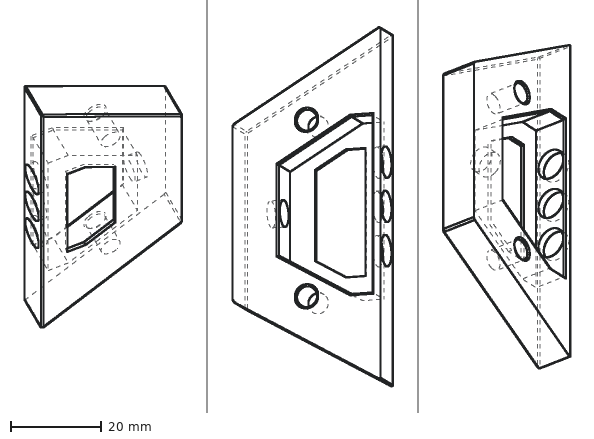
import cadquery as cq
import math

thickness = 9.0
depth = 34.6
edge_chamfer = 0.4
chamfered_half_length = 39.8
half_length = chamfered_half_length + edge_chamfer / 2
slope = math.tan(math.radians(30))

front_y = -depth / 2
back_y = depth / 2

floor_thickness = 0.9
pocket_depth = thickness - floor_thickness
recess_far_half = 10.3
pocket_front_wall = 2.0
pocket_length = 21.9
pocket_half = 20.05
window_inset = 6.3
window_length = 11.8
window_half = 14.5

face_hole_diameter = 4.7
face_hole_offset = 20.0
face_hole_depth = pocket_depth
side_hole_diameter = 7.0
side_hole_spacing = 10.0
side_hole_x = 4.0
blind_hole_diameter = 6.0
blind_hole_depth = 3.0


def make_plate():
    far_half = half_length - depth * slope
    plate = (
        cq.Workplane("YZ")
        .polyline([
            (front_y, -half_length),
            (back_y, -far_half),
            (back_y, far_half),
            (front_y, half_length),
        ])
        .close()
        .extrude(thickness)
    )
    return plate.edges("|X or >X").chamfer(edge_chamfer)


def make_recess(near_y, length, near_half, cut_depth):
    """Prism from the -X face whose upper and lower sides bend parallel to the slanted plate sides."""
    far_y = near_y + length
    bend_y = far_y - (near_half - recess_far_half) / slope
    return (
        cq.Workplane("YZ")
        .polyline([
            (near_y, -near_half),
            (bend_y, -near_half),
            (far_y, -recess_far_half),
            (far_y, recess_far_half),
            (bend_y, near_half),
            (near_y, near_half),
        ])
        .close()
        .extrude(cut_depth)
    )


def cylinder(diameter, length, start, direction):
    return cq.Workplane(cq.Solid.makeCylinder(diameter / 2, length, cq.Vector(*start), cq.Vector(*direction)))


pocket_front_y = front_y + pocket_front_wall
pocket_back_y = pocket_front_y + pocket_length

result = make_plate()
result = result.cut(make_recess(pocket_front_y, pocket_length, pocket_half, pocket_depth))
result = result.cut(make_recess(front_y + window_inset, window_length, window_half, thickness))

for z in (-face_hole_offset, face_hole_offset):
    result = result.cut(cylinder(face_hole_diameter, face_hole_depth, (0, 0, z), (1, 0, 0)))

rim_wires = result.faces("<X").val().innerWires()
rim_edges = [edge for wire in rim_wires for edge in wire.Edges()]
result = result.newObject(rim_edges).chamfer(edge_chamfer)

for z in (-side_hole_spacing, 0, side_hole_spacing):
    result = result.cut(cylinder(side_hole_diameter, pocket_front_wall, (side_hole_x, front_y, z), (0, 1, 0)))

result = result.cut(cylinder(blind_hole_diameter, blind_hole_depth, (side_hole_x, pocket_back_y, 0), (0, 1, 0)))